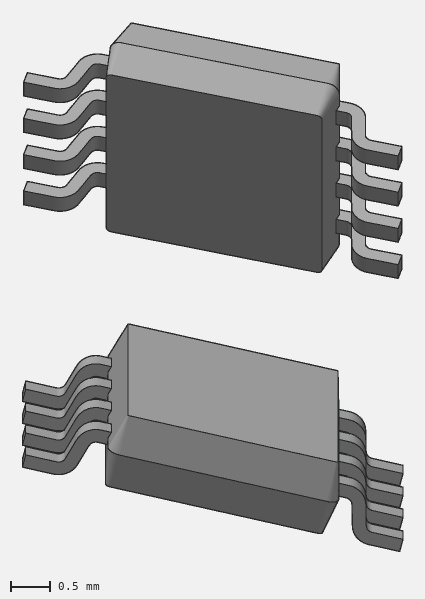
import cadquery as cq
import math

BODY_SIDE = 3.0
BODY_HALF_DEPTH = 0.5
CORNER_RADIUS = 0.15
FRONT_TAPER = 10.0
BACK_TAPER = 15.0

SPAN = 4.9
LEAD_THICKNESS = 0.175
LEAD_WIDTH = 0.25
LEAD_PITCH = 0.65
LEADS_PER_SIDE = 4
LEAD_ROW_RISE = 0.03
FOOT_LENGTH = 0.4
FOOT_STANDOFF = 0.15
INNER_BEND_RADIUS = 0.1
BEND_ANGLE = math.radians(75.0)
EMBED_DEPTH = 0.245


def half_body(depth, taper):
    """Half of the body, from the parting plane; a positive depth runs toward -Y."""
    return (
        cq.Workplane("XZ")
        .sketch()
        .rect(BODY_SIDE, BODY_SIDE)
        .vertices()
        .fillet(CORNER_RADIUS)
        .finalize()
        .extrude(depth, taper=taper)
    )


def make_left_lead():
    """One lead on the -X side: its section swept along the centreline, centred on z = 0."""
    bend_radius = INNER_BEND_RADIUS + LEAD_THICKNESS / 2
    foot_y = LEAD_THICKNESS / 2 - BODY_HALF_DEPTH - FOOT_STANDOFF
    bend_run = bend_radius * math.sin(BEND_ANGLE)
    bend_rise = bend_radius * (1 - math.cos(BEND_ANGLE))
    slope_rise = -foot_y - 2 * bend_rise
    slope_run = slope_rise / math.tan(BEND_ANGLE)

    foot_tip_x = -SPAN / 2
    foot_end_x = foot_tip_x + FOOT_LENGTH
    slope_start_x = foot_end_x + bend_run
    slope_end_x = slope_start_x + slope_run
    shoulder_x = slope_end_x + bend_run

    centreline = (
        cq.Workplane("XY")
        .moveTo(foot_tip_x, foot_y)
        .lineTo(foot_end_x, foot_y)
        .tangentArcPoint((slope_start_x, foot_y + bend_rise), relative=False)
        .lineTo(slope_end_x, -bend_rise)
        .tangentArcPoint((shoulder_x, 0), relative=False)
        .lineTo(EMBED_DEPTH - BODY_SIDE / 2, 0)
    )
    return (
        cq.Workplane("YZ", origin=(foot_tip_x, foot_y, 0))
        .rect(LEAD_THICKNESS, LEAD_WIDTH)
        .sweep(centreline)
    )


front_half = half_body(BODY_HALF_DEPTH, FRONT_TAPER)
back_half = half_body(-BODY_HALF_DEPTH, BACK_TAPER)
result = front_half.union(back_half)

left_lead = make_left_lead()
right_lead = left_lead.mirror("YZ")
lowest_lead_z = LEAD_ROW_RISE - LEAD_PITCH * (LEADS_PER_SIDE - 1) / 2
for index in range(LEADS_PER_SIDE):
    position = (0, 0, lowest_lead_z + index * LEAD_PITCH)
    result = result.union(left_lead.translate(position))
    result = result.union(right_lead.translate(position))